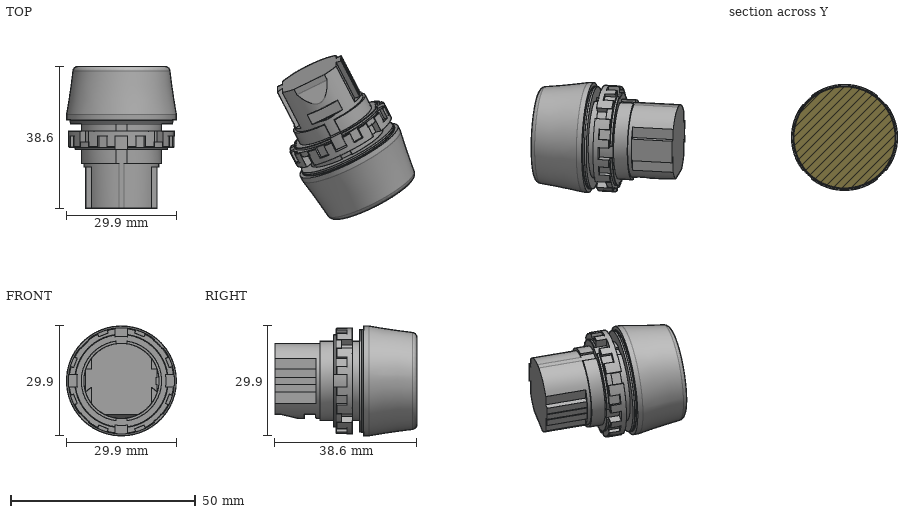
import cadquery as cq


total_length = 38.55
key_end = 11.2
shaft_end = 12.2
nut_front = 15.95
nut_rim_front = 16.6
lip_back = 18.05
grip_back = 19.6
nut_back = 21.0
flange_front = 22.95
flange_step = 23.45
flange_groove = 23.9
cap_front = 24.05
cap_band_back = 25.5

cap_radius = 29.85 / 2
cap_waist_radius = 13.87
cap_crown_radius = 13.05
crown_fillet = 1.4
flange_radius = 27.8 / 2
flange_rim_radius = 28.0 / 2
flange_groove_radius = 13.8
collar_radius = 10.9
shaft_radius = 10.2
nut_radius = 14.4
nut_boss_radius = 12.68
notch_floor_radius = 12.1
lip_radius = 14.17

nut_rim_chamfer = 0.2
nut_boss_chamfer = 0.12
grip_notch_width = 3.35
corner_notch_width = 3.25
pocket_width = 2.75
pocket_floor = 13.4
pocket_angle = 21.3
corner_angle = 45

collar_slot_width = 2.95
slot_floor = 10.175
side_flat = 8.17
key_reach = 9.69
key_top = 3.18
key_bottom_root = -1.74
key_bottom_tip = -2.95
key_groove_depth = 0.27
key_groove_bottom = -1.0
key_groove_top = 0.93
latch_flat = 9.1
latch_ramp_start = 1.7
latch_ramp_end = 6.3
latch_gap_start = 8.0
latch_gap_end = 11.0
latch_gap_chamfer = 0.3


def block(x_range, y_range, z_range):
    """Box spanning the given (low, high) ranges."""
    sizes = [high - low for low, high in (x_range, y_range, z_range)]
    corner = (x_range[0], y_range[0], z_range[0])
    return cq.Workplane("XY").box(*sizes, centered=False).translate(corner)


def disc(radius, start, end):
    """Cylinder on the Y axis between two stations."""
    return cq.Workplane("XZ", origin=(0, start, 0)).circle(radius).extrude(start - end)


def turn_about_axis(shape, angle):
    return shape.rotate((0, 0, 0), (0, 1, 0), angle)


def make_cap():
    """Button cap with a hollow-sided taper and a rounded crown."""
    middle = (cap_band_back + total_length) / 2
    profile = (
        cq.Workplane("XY")
        .moveTo(0, cap_front)
        .lineTo(cap_radius, cap_front)
        .lineTo(cap_radius, cap_band_back)
        .threePointArc((cap_waist_radius, middle), (cap_crown_radius, total_length))
        .lineTo(0, total_length)
        .close()
    )
    cap = profile.revolve(360, (0, 0, 0), (0, 1, 0))
    return cap.faces(">Y").edges().fillet(crown_fillet)


def make_flange():
    """Stepped disc with a shallow groove next to the cap."""
    flange = disc(flange_radius, flange_front, flange_step)
    flange = flange.union(disc(flange_rim_radius, flange_step, flange_groove))
    return flange.union(disc(flange_groove_radius, flange_groove, cap_front))


def make_collar():
    """Cylinder with a flat-bottomed slot above and a shaft-deep slot below."""
    collar = disc(collar_radius, shaft_end, flange_front)
    half_slot = collar_slot_width / 2
    slot_span = (-half_slot, half_slot)
    along_collar = (shaft_end, flange_front)
    upper_slot = block(slot_span, along_collar, (slot_floor, collar_radius))
    lower_slot = block(slot_span, along_collar, (-collar_radius, 0))
    lower_slot = lower_slot.cut(disc(shaft_radius, shaft_end, flange_front))
    return collar.cut(upper_slot).cut(lower_slot)


def make_nut():
    """Ring nut with grip notches, pockets and open-backed corner notches."""
    boss = disc(nut_boss_radius, nut_front, nut_back).faces("<Y").edges().chamfer(nut_boss_chamfer)
    rim = disc(nut_radius, nut_rim_front, nut_back).faces("<Y").edges().chamfer(nut_rim_chamfer)
    nut = boss.union(rim)

    half_grip = grip_notch_width / 2
    grip_notch = block((-half_grip, half_grip), (nut_front, grip_back), (0, nut_radius))
    grip_notch = grip_notch.cut(disc(notch_floor_radius, nut_front, grip_back))

    half_corner = corner_notch_width / 2
    corner_notch = block((-half_corner, half_corner), (lip_back, nut_back), (notch_floor_radius, nut_radius))

    lip_trim = block((-half_corner, half_corner), (nut_rim_front, nut_back), (notch_floor_radius, nut_radius))
    corner_notch = corner_notch.union(lip_trim.cut(disc(lip_radius, nut_rim_front, nut_back)))

    half_pocket = pocket_width / 2
    pocket = block((-half_pocket, half_pocket), (nut_rim_front, grip_back), (pocket_floor, nut_radius))

    for quarter in (0, 90, 180, 270):
        nut = nut.cut(turn_about_axis(grip_notch, quarter))
        nut = nut.cut(turn_about_axis(corner_notch, quarter + corner_angle))
        for side in (-pocket_angle, pocket_angle):
            nut = nut.cut(turn_about_axis(pocket, quarter + side))
    return nut


def make_side_key():
    """Rail on the +X flat, with a level top and an undercut lower side."""
    outline = [
        (0, key_top),
        (key_reach, key_top),
        (key_reach, key_bottom_tip),
        (side_flat, key_bottom_root),
        (0, key_bottom_root),
    ]
    return cq.Workplane("XZ").polyline(outline).close().extrude(-key_end)


def make_latch_cut():
    """Material removed below the shaft: entry ramp, then a cross gap."""
    below = -collar_radius
    ramp = [
        (0, -latch_flat),
        (latch_ramp_start, -latch_flat),
        (latch_ramp_end, -shaft_radius),
        (latch_ramp_end, below),
        (0, below),
    ]
    gap = [
        (latch_gap_start, -latch_flat),
        (latch_gap_end, -latch_flat),
        (latch_gap_end, latch_gap_chamfer - shaft_radius),
        (latch_gap_end + latch_gap_chamfer, -shaft_radius),
        (latch_gap_end + latch_gap_chamfer, below),
        (latch_gap_start, below),
    ]
    ramp_cut = cq.Workplane("YZ").polyline(ramp).close().extrude(shaft_radius, both=True)
    gap_cut = cq.Workplane("YZ").polyline(gap).close().extrude(shaft_radius, both=True)
    return ramp_cut.union(gap_cut)


def make_shaft():
    """Round shaft with side flats, keys, a narrow top flat and a latch below."""
    full = disc(shaft_radius, 0, shaft_end)
    span = (-shaft_radius, shaft_radius)
    core = full
    for side in (0, 180):
        beyond_flat = block((side_flat, shaft_radius), (0, key_end), span)
        core = core.cut(turn_about_axis(beyond_flat, side))
    key = make_side_key()
    keys = key.union(key.mirror("YZ")).intersect(full)
    shaft = core.union(keys)

    key_groove = block(
        (key_reach - key_groove_depth, shaft_radius), (0, key_end), (key_groove_bottom, key_groove_top)
    )
    top_flat = block(span, (0, shaft_end), (slot_floor, shaft_radius))
    return shaft.cut(key_groove).cut(top_flat).cut(make_latch_cut())


result = make_cap().union(make_flange()).union(make_collar()).union(make_shaft()).union(make_nut())